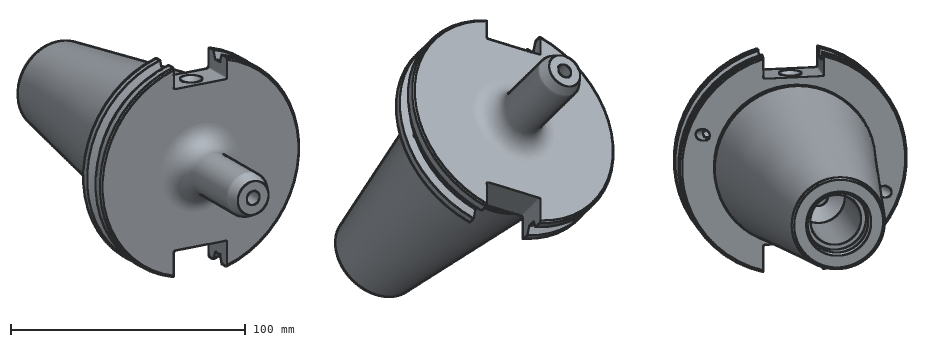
import cadquery as cq
import math

total_length = 165.1
gauge_diameter = 69.8
taper_length = 101.5
taper_ratio = 7 / 24
small_end_radius = (gauge_diameter - taper_length * taper_ratio) / 2
small_end_chamfer = 0.8

neck_start = 102.4
neck_diameter = 69.2

flange_start = 104.8
flange_end = 120.7
flange_diameter = 98.4
flange_chamfer = 0.8
groove_center = 112.6
groove_floor_width = 3.8
groove_floor_radius = 45.5
groove_side_angle = 24.0

slot_width = 26.3
upper_slot_height = 37.8
lower_slot_height = 35.3
slot_corner_radius = 0.8
dimple_diameter = 9.5
dimple_tip_angle = 90.0

shank_diameter = 19.8
shank_fillet = 9.9
tip_chamfer_start = 160.3
tip_chamfer_end = 164.1
tip_blend_radius = 1.7
tip_radius = 8.1
end_radius = 7.6
side_hole_diameter = 6.3
side_hole_position = 149.7

mouth_diameter = 28.2
mouth_tip_angle = 60.0
counterbore_diameter = 26.3
counterbore_depth = 6.8
bore_diameter = 22.0
bore_depth = 44.5
bore_tip_angle = 118.0
pilot_diameter = 9.0
pilot_length = 16.5
through_diameter = 6.3

coolant_angle = 20.0
face_hole_radius = 42.0
face_hole_diameter = 5.0
face_hole_tilt = 38.0
radial_hole_diameter = 4.1


def build_body():
    """Revolve the outside of the holder about X."""
    flange_radius = flange_diameter / 2
    shank_radius = shank_diameter / 2
    groove_floor_half = groove_floor_width / 2
    groove_rise = flange_radius - groove_floor_radius
    groove_top_half = groove_floor_half + groove_rise * math.tan(math.radians(groove_side_angle))
    chamfered_radius = flange_radius - flange_chamfer
    fillet_outer_radius = shank_radius + shank_fillet
    diagonal = shank_fillet * math.sqrt(0.5)
    fillet_middle = (flange_end + shank_fillet - diagonal, fillet_outer_radius - diagonal)
    chamfer_radius = small_end_radius + small_end_chamfer * (taper_ratio / 2)

    outline = (
        cq.Workplane("XY")
        .lineTo(0, small_end_radius - small_end_chamfer)
        .lineTo(small_end_chamfer, chamfer_radius)
        .lineTo(taper_length, gauge_diameter / 2)
        .lineTo(neck_start, neck_diameter / 2)
        .lineTo(flange_start, neck_diameter / 2)
        .lineTo(flange_start, chamfered_radius)
        .lineTo(flange_start + flange_chamfer, flange_radius)
        .lineTo(groove_center - groove_top_half, flange_radius)
        .lineTo(groove_center - groove_floor_half, groove_floor_radius)
        .lineTo(groove_center + groove_floor_half, groove_floor_radius)
        .lineTo(groove_center + groove_top_half, flange_radius)
        .lineTo(flange_end - flange_chamfer, flange_radius)
        .lineTo(flange_end, chamfered_radius)
        .lineTo(flange_end, fillet_outer_radius)
        .threePointArc(fillet_middle, (flange_end + shank_fillet, shank_radius))
        .lineTo(tip_chamfer_start, shank_radius)
        .lineTo(tip_chamfer_end, tip_radius)
        .lineTo(total_length, end_radius)
        .lineTo(total_length, 0)
        .close()
    )
    body = outline.revolve(360, (0, 0, 0), (1, 0, 0))
    tip_edge = cq.NearestToPointSelector((tip_chamfer_start, 0, 0))
    return body.edges(tip_edge).fillet(tip_blend_radius)


def cone_length(start_radius, final_radius, tip_angle):
    """Axial length of a cone between two radii."""
    return (start_radius - final_radius) / math.tan(math.radians(tip_angle / 2))


def build_bore():
    """Stepped bore running the full length along X."""
    mouth_radius = mouth_diameter / 2
    counterbore_radius = counterbore_diameter / 2
    bore_radius = bore_diameter / 2
    pilot_radius = pilot_diameter / 2
    through_radius = through_diameter / 2
    mouth_depth = cone_length(mouth_radius, counterbore_radius, mouth_tip_angle)
    pilot_start = bore_depth + cone_length(bore_radius, pilot_radius, bore_tip_angle)
    pilot_end = pilot_start + pilot_length
    through_start = pilot_end + cone_length(pilot_radius, through_radius, bore_tip_angle)

    outline = (
        cq.Workplane("XY")
        .lineTo(0, mouth_radius)
        .lineTo(mouth_depth, counterbore_radius)
        .lineTo(counterbore_depth, counterbore_radius)
        .lineTo(counterbore_depth, bore_radius)
        .lineTo(bore_depth, bore_radius)
        .lineTo(pilot_start, pilot_radius)
        .lineTo(pilot_end, pilot_radius)
        .lineTo(through_start, through_radius)
        .lineTo(total_length, through_radius)
        .lineTo(total_length, 0)
        .close()
    )
    return outline.revolve(360, (0, 0, 0), (1, 0, 0))


def build_drive_slot(floor_height, side):
    """Slot through the flange; side is +1 for the top and -1 for the bottom."""
    flange_width = flange_end - flange_start
    middle = (flange_start + flange_end) / 2
    height = flange_diameter / 2
    floor_face = "<Z" if side > 0 else ">Z"
    return (
        cq.Workplane("XY")
        .box(flange_width, slot_width, height)
        .faces(floor_face)
        .edges("|X")
        .fillet(slot_corner_radius)
        .translate((middle, 0, side * (floor_height + height / 2)))
    )


def build_dimple():
    """Conical dimple in the floor of the upper drive slot."""
    radius = dimple_diameter / 2
    depth = cone_length(radius, 0, dimple_tip_angle)
    position = cq.Vector((flange_start + flange_end) / 2, 0, upper_slot_height)
    return cq.Workplane(obj=cq.Solid.makeCone(radius, 0, depth, position, cq.Vector(0, 0, -1)))


def build_side_hole():
    """Hole from the +Y side of the shank into the through bore."""
    position = cq.Vector(side_hole_position, 0, 0)
    hole = cq.Solid.makeCylinder(side_hole_diameter / 2, shank_diameter, position, cq.Vector(0, 1, 0))
    return cq.Workplane(obj=hole)


def build_coolant_passage(angle):
    """Slanted hole from the flange face meeting a radial hole from the groove."""
    tilt = math.radians(face_hole_tilt)
    direction = cq.Vector(math.cos(tilt), -math.sin(tilt), 0)
    face_entry = cq.Vector(flange_start, face_hole_radius, 0)
    slant_length = (groove_center - flange_start) / math.cos(tilt)
    meeting_radius = face_hole_radius - slant_length * math.sin(tilt)
    lead = face_hole_diameter
    slanted = cq.Solid.makeCylinder(
        face_hole_diameter / 2, slant_length + lead, face_entry - direction * lead, direction
    )
    radial = cq.Solid.makeCylinder(
        radial_hole_diameter / 2,
        flange_diameter / 2 - meeting_radius,
        cq.Vector(groove_center, meeting_radius, 0),
        cq.Vector(0, 1, 0),
    )
    passage = cq.Workplane(obj=slanted).union(cq.Workplane(obj=radial))
    return passage.rotate((0, 0, 0), (1, 0, 0), angle)


result = build_body().cut(build_bore())
result = result.cut(build_drive_slot(upper_slot_height, 1))
result = result.cut(build_drive_slot(lower_slot_height, -1))
result = result.cut(build_dimple())
result = result.cut(build_side_hole())
for half_turn in (0, 180):
    result = result.cut(build_coolant_passage(coolant_angle + half_turn))